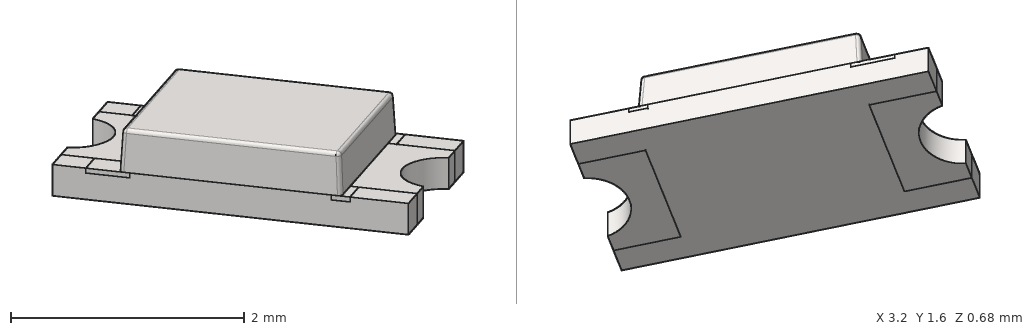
import cadquery as cq
import math

LENGTH = 3.2
WIDTH = 1.6
HEIGHT = 0.68
BOARD_HEIGHT = 0.288

LENS_LENGTH = 1.997
LENS_DRAFT = 3.0
LENS_ROUND = 0.04
LENS_HEIGHT = HEIGHT - BOARD_HEIGHT

TERMINAL_WIDTH = 1.095
TERMINAL_LENGTH = (LENGTH - LENS_LENGTH) / 2
NOTCH_DEPTH = 0.3
NOTCH_RADIUS = 0.37

STRIP_THICKNESS = 0.045
STRIP_INNER_X = 0.905
LEFT_STRIP_LENGTH = 0.395
RIGHT_STRIP_LENGTH = 0.17

LEFT = -1
RIGHT = 1


def terminal_block(side):
    """Full-height block at one end of the board, before notching."""
    center_x = side * (LENGTH - TERMINAL_LENGTH) / 2
    return (
        cq.Workplane("XY")
        .center(center_x, 0)
        .rect(TERMINAL_LENGTH, TERMINAL_WIDTH)
        .extrude(BOARD_HEIGHT)
    )


def make_terminal(side):
    """End terminal with a round notch in its outer face."""
    notch_center_x = side * (LENGTH / 2 - NOTCH_DEPTH + NOTCH_RADIUS)
    notch = (
        cq.Workplane("XY")
        .center(notch_center_x, 0)
        .circle(NOTCH_RADIUS)
        .extrude(BOARD_HEIGHT)
    )
    return terminal_block(side).cut(notch)


def make_strip(side, strip_length):
    """Inlay across the board, flush with its top and open around the terminal."""
    center_x = side * (STRIP_INNER_X + strip_length / 2)
    return (
        cq.Workplane("XY")
        .workplane(offset=BOARD_HEIGHT - STRIP_THICKNESS)
        .center(center_x, 0)
        .rect(strip_length, WIDTH)
        .extrude(STRIP_THICKNESS)
        .cut(terminal_block(side))
    )


def make_board(strips):
    """Board with recesses for the terminals and marking strips."""
    board = cq.Workplane("XY").rect(LENGTH, WIDTH).extrude(BOARD_HEIGHT)
    for side in (LEFT, RIGHT):
        board = board.cut(terminal_block(side))
    for strip in strips:
        board = board.cut(strip)
    return board


def make_lens():
    """Drafted block with rounded corners and a rounded top rim."""
    inset = LENS_HEIGHT * math.tan(math.radians(LENS_DRAFT))
    return (
        cq.Workplane("XY")
        .workplane(offset=BOARD_HEIGHT)
        .rect(LENS_LENGTH, WIDTH)
        .workplane(offset=LENS_HEIGHT)
        .rect(LENS_LENGTH - 2 * inset, WIDTH - 2 * inset)
        .loft(ruled=True)
        .edges("not(#Z)")
        .fillet(LENS_ROUND)
        .faces(">Z")
        .edges()
        .fillet(LENS_ROUND)
    )


terminals = [make_terminal(side) for side in (LEFT, RIGHT)]
strips = [make_strip(LEFT, LEFT_STRIP_LENGTH), make_strip(RIGHT, RIGHT_STRIP_LENGTH)]
board = make_board(strips)
lens = make_lens()

result = cq.Compound.makeCompound(
    [
        board.solids().val(),
        lens.solids().val(),
        *[terminal.solids().val() for terminal in terminals],
        *[strip.solids().val() for strip in strips],
    ]
)